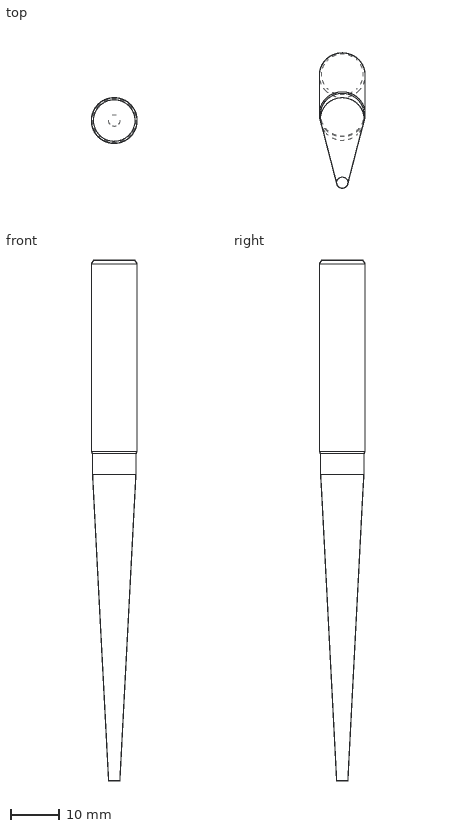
import cadquery as cq
import math

overall_length = 107.95
cutting_length = 63.5
shank_length = 39.7
shank_radius = 9.525 / 2

taper_angle = 3.0
tip_radius = 2.38 / 2

bevel_angle = 30.0
chamfer_height = 0.8

taper_slope = math.tan(math.radians(taper_angle))
bevel_slope = math.tan(math.radians(bevel_angle))

neck_radius = tip_radius + cutting_length * taper_slope
shank_bottom = overall_length - shank_length
shoulder_height = (shank_radius - neck_radius) / bevel_slope
chamfer_width = chamfer_height * bevel_slope


def revolve_about_axis(profile):
    """Turn a closed half profile into a solid about the tool axis."""
    return profile.revolve(360, (0, 0, 0), (0, 1, 0))


def make_cutter():
    """Tapered cutting portion, from the flat tip up to the neck."""
    profile = (
        cq.Workplane("XZ")
        .lineTo(tip_radius, 0)
        .lineTo(neck_radius, cutting_length)
        .lineTo(0, cutting_length)
        .close()
    )
    return revolve_about_axis(profile)


def make_shank():
    """Cylindrical neck and shank, with a conical shoulder between them and a chamfered top."""
    profile = (
        cq.Workplane("XZ")
        .moveTo(0, cutting_length)
        .lineTo(neck_radius, cutting_length)
        .lineTo(neck_radius, shank_bottom - shoulder_height)
        .lineTo(shank_radius, shank_bottom)
        .lineTo(shank_radius, overall_length - chamfer_height)
        .lineTo(shank_radius - chamfer_width, overall_length)
        .lineTo(0, overall_length)
        .close()
    )
    return revolve_about_axis(profile)


cutter = make_cutter()
shank = make_shank()

result = cq.Compound.makeCompound([cutter.val(), shank.val()])